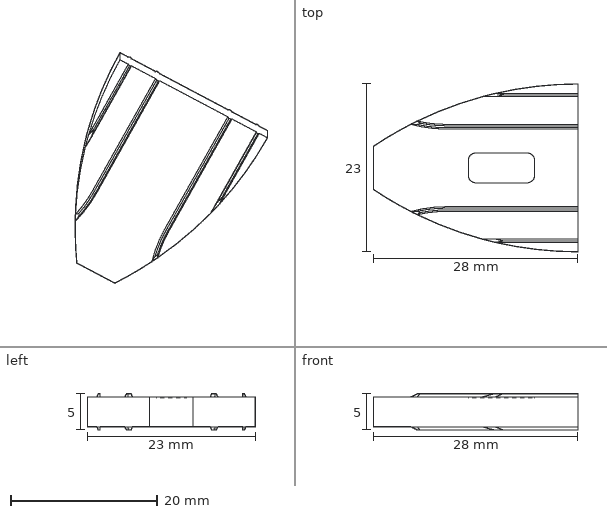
import cadquery as cq
import math

length = 28.0
rear_half_width = 11.495
nose_half_width = 2.97
plate_thickness = 4.1
overall_height = 5.0

flare = rear_half_width - nose_half_width
side_radius = (length**2 + flare**2) / (2 * flare)
side_center_y = rear_half_width - side_radius

plate_top = plate_thickness / 2
rib_height = (overall_height - plate_thickness) / 2
rib_top_width = 0.25
rib_wall_run = 0.2
outer_rib_inner_wall_y = 9.75
inner_rib_center_y = 5.63
bend_start_x = 9.95
bend_radius = 17.92
bend_angle = 25.0
rib_end_inset = 0.45

label_center_x = 17.5
label_length = 9.07
label_width = 4.1
label_corner_radius = 1.05
label_depth = 0.1


def make_plate():
    halfway_angle = math.asin(length / side_radius) / 2
    mid_x = length - side_radius * math.sin(halfway_angle)
    mid_y = side_center_y + side_radius * math.cos(halfway_angle)
    return (
        cq.Workplane("XY")
        .workplane(offset=-plate_top)
        .moveTo(0, -nose_half_width)
        .threePointArc((mid_x, -mid_y), (length, -rear_half_width))
        .lineTo(length, rear_half_width)
        .threePointArc((mid_x, mid_y), (0, nose_half_width))
        .close()
        .extrude(plate_thickness)
    )


def rib_section(start_x, top_inner_y, inner_wall_run):
    """Rib cross-section in the YZ plane; the outer wall always slopes."""
    top_outer_y = top_inner_y + rib_top_width
    rib_top = plate_top + rib_height
    return (
        cq.Workplane("YZ", origin=(start_x, 0, 0))
        .moveTo(top_inner_y - inner_wall_run, plate_top)
        .lineTo(top_outer_y + rib_wall_run, plate_top)
        .lineTo(top_outer_y, rib_top)
        .lineTo(top_inner_y, rib_top)
        .close()
    )


def make_outer_rib():
    return rib_section(0, outer_rib_inner_wall_y, 0).extrude(length)


def make_inner_rib():
    top_inner_y = inner_rib_center_y - rib_top_width / 2
    straight = rib_section(bend_start_x, top_inner_y, rib_wall_run).extrude(length - bend_start_x)
    bend_center_y = inner_rib_center_y + bend_radius
    bend = rib_section(bend_start_x, top_inner_y, rib_wall_run).revolve(
        bend_angle, (bend_center_y, 0, 0), (bend_center_y, -1, 0)
    )
    return straight.union(bend)


def make_rib_set():
    """Both ribs on the +Y half of the top face, with front ends sloping back from the side arc."""
    end_cone = cq.Solid.makeCone(
        side_radius,
        side_radius - rib_end_inset,
        rib_height,
        pnt=cq.Vector(length, side_center_y, plate_top),
    )
    return make_outer_rib().union(make_inner_rib()).intersect(cq.Workplane(end_cone))


def make_label_recess():
    return (
        cq.Workplane("XY", origin=(label_center_x, 0, plate_top - label_depth))
        .rect(label_length, label_width)
        .extrude(label_depth)
        .edges("|Z")
        .fillet(label_corner_radius)
    )


side_ribs = make_rib_set()
top_ribs = side_ribs.union(side_ribs.mirror("XZ"))
all_ribs = top_ribs.union(top_ribs.mirror("XY"))

result = make_plate().union(all_ribs).cut(make_label_recess())